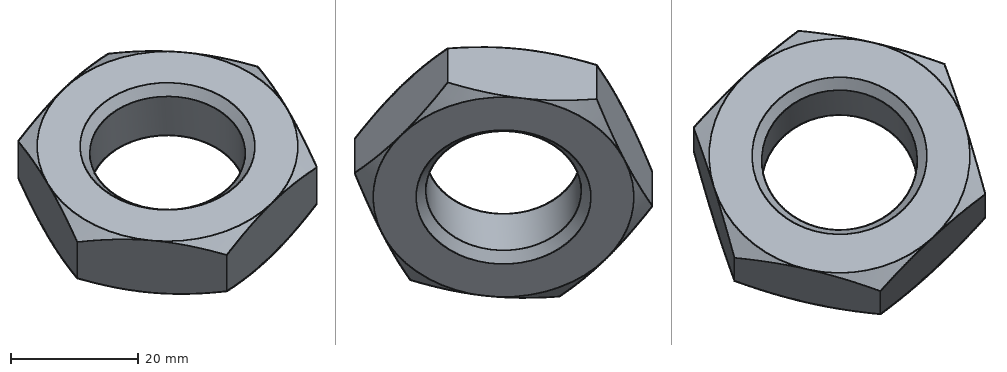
import cadquery as cq
import math

across_flats = 41.0
thickness = 12.0
bore_diameter = 24.45
countersink_diameter = 27.5
countersink_angle = 45.0
corner_bevel_angle = 30.0
side_count = 6

across_corners = across_flats / math.cos(math.pi / side_count)
half_thickness = thickness / 2
face_radius = across_flats / 2
corner_radius = across_corners / 2
corner_drop = (corner_radius - face_radius) * math.tan(math.radians(corner_bevel_angle))
bore_radius = bore_diameter / 2
countersink_radius = countersink_diameter / 2
countersink_depth = (countersink_radius - bore_radius) * math.tan(math.radians(countersink_angle))


def double_cone_disc(end_radius, middle_radius, cone_height):
    """Disc as thick as the nut whose radius changes conically towards both end faces."""
    half_profile = [
        (0, -half_thickness),
        (end_radius, -half_thickness),
        (middle_radius, -half_thickness + cone_height),
        (middle_radius, half_thickness - cone_height),
        (end_radius, half_thickness),
        (0, half_thickness),
    ]
    return cq.Workplane("XZ").polyline(half_profile).close().revolve(360, (0, 0), (0, 1))


def hexagon_body():
    """Hexagonal prism centred on the origin, with two corners on the X axis."""
    return cq.Workplane("XY").polygon(side_count, across_corners).extrude(half_thickness, both=True)


def bevel_corners(body):
    """Bevel the hexagon corners at both ends by keeping only what lies inside a coned disc."""
    return body.intersect(double_cone_disc(face_radius, corner_radius, corner_drop))


def cut_countersunk_bore(body):
    """Cut the through bore with a conical countersink at both ends."""
    return body.cut(double_cone_disc(countersink_radius, bore_radius, countersink_depth))


result = cut_countersunk_bore(bevel_corners(hexagon_body()))